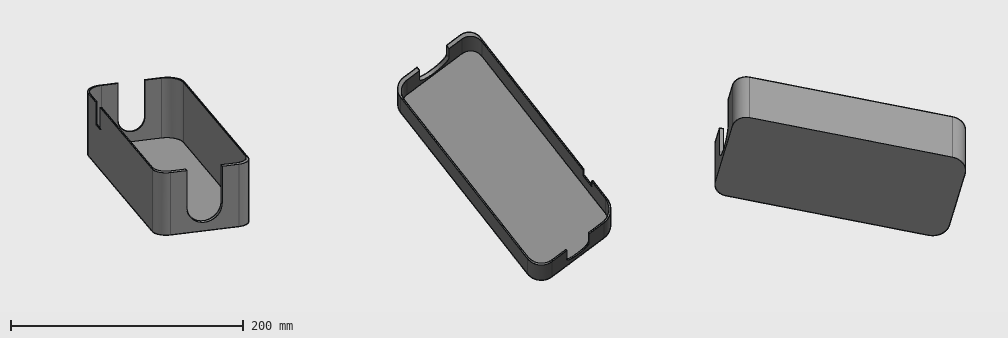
import cadquery as cq

length = 206.5
width = 86.5
height = 58.0

thin_wall = 1.2
thick_wall = 3.7
floor_thickness = 2.5

left_corner_radius = 15.0
right_corner_radius = 12.4

left_slot_width = 24.2
left_slot_bottom = 11.8
right_slot_width = 31.8
right_slot_bottom = 8.0

notch_start = 35.5
notch_width = 12.5
notch_depth = 20.6

clearance = 2.0


def rounded_block(size_x, size_y, size_z):
    """Block from the origin with its vertical edges rounded at both ends."""
    block = cq.Workplane("XY").box(size_x, size_y, size_z, centered=False)
    block = block.edges("|Z and <X").fillet(left_corner_radius)
    return block.edges("|Z and >X").fillet(right_corner_radius)


def end_slot(start_x, wall, slot_width, bottom):
    """Cutter for a U-shaped slot, open at the rim, through one end wall."""
    radius = slot_width / 2
    arc_center = bottom + radius
    top = height + clearance
    profile = (
        cq.Workplane("YZ", origin=(start_x - clearance, width / 2, 0))
        .moveTo(-radius, top)
        .lineTo(-radius, arc_center)
        .threePointArc((0, bottom), (radius, arc_center))
        .lineTo(radius, top)
        .close()
    )
    return profile.extrude(wall + 2 * clearance)


outside = rounded_block(length, width, height)
cavity = rounded_block(
    length - thin_wall - thick_wall,
    width - 2 * thin_wall,
    height - floor_thickness + clearance,
).translate((thin_wall, thin_wall, floor_thickness))
tray = outside.cut(cavity)

left_slot = end_slot(0, thin_wall, left_slot_width, left_slot_bottom)
right_slot = end_slot(length - thick_wall, thick_wall, right_slot_width, right_slot_bottom)
tray = tray.cut(left_slot).cut(right_slot)

notch = cq.Workplane("XY").box(
    notch_width,
    thin_wall + 2 * clearance,
    notch_depth + clearance,
    centered=False,
).translate((notch_start, -clearance, height - notch_depth))
result = tray.cut(notch)